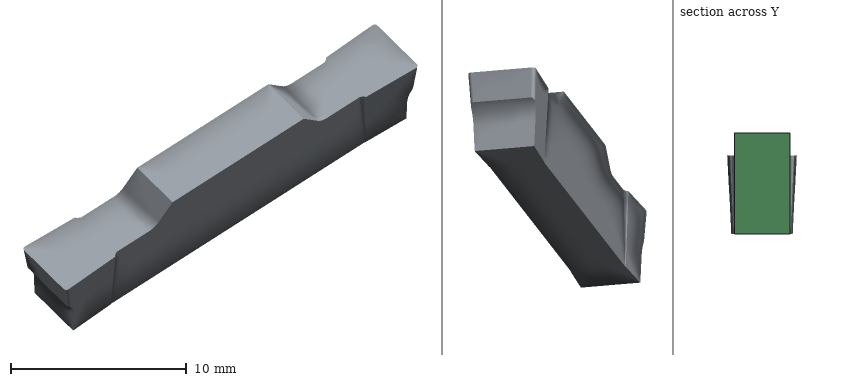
import cadquery as cq
import math


length = 25.8
height = 5.79
shelf_height = 4.49
shank_width = 3.2

ridge_top_length = 9.58
ridge_slope_angle = 45
ridge_foot_radius = 0.95

edge_width = 3.978
corner_radius = 0.2
side_taper_angle = 2.6
side_draft_angle = 2.65
end_relief_angle = 7
head_length_top = 3.74
head_length_bottom = 3.58
neck_length_ratio = 1.2
neck_shoulder_ratio = 0.45
neck_lean_ratio = 0.2

undercut_setback = 0.73
undercut_top = 2.76
undercut_tangent_height = 1.61

half_length = length / 2
shank_half = shank_width / 2


def tangent(angle):
    return math.tan(math.radians(angle))


def end_recess(z):
    """Distance of the relieved end face behind the cutting edge at height z."""
    return (shelf_height - z) * tangent(end_relief_angle)


def head_half_width(setback, z):
    """Half width of a head at a distance behind the cutting edge and at height z."""
    taper = setback * tangent(side_taper_angle)
    draft = (shelf_height - z) * tangent(side_draft_angle)
    return edge_width / 2 - taper - draft


def make_shank(shank_length):
    """Parallel shank with the filleted ridge, centred on the origin."""
    slope = math.radians(ridge_slope_angle)
    ridge_half = ridge_top_length / 2
    foot = ridge_half + (height - shelf_height) / math.tan(slope)
    foot_tangent = ridge_foot_radius * math.tan(slope / 2)
    shelf_end = foot + foot_tangent
    slope_end_y = foot - foot_tangent * math.cos(slope)
    slope_end_z = shelf_height + foot_tangent * math.sin(slope)
    arc_mid_y = shelf_end - ridge_foot_radius * math.sin(slope / 2)
    arc_mid_z = shelf_height + ridge_foot_radius * (1 - math.cos(slope / 2))
    shank_end = shank_length / 2
    return (
        cq.Workplane("YZ")
        .moveTo(-shank_end, 0)
        .lineTo(shank_end, 0)
        .lineTo(shank_end, shelf_height)
        .lineTo(shelf_end, shelf_height)
        .threePointArc((arc_mid_y, arc_mid_z), (slope_end_y, slope_end_z))
        .lineTo(ridge_half, height)
        .lineTo(-ridge_half, height)
        .lineTo(-slope_end_y, slope_end_z)
        .threePointArc((-arc_mid_y, arc_mid_z), (-shelf_end, shelf_height))
        .lineTo(-shank_end, shelf_height)
        .close()
        .extrude(shank_half, both=True)
    )


def head_section(z, head_length):
    """Plan outline of the -Y head at height z, with a shoulder and bevel down to the shank."""
    tip_y = -half_length + end_recess(z)
    tip_half = head_half_width(end_recess(z), z)
    back_y = -half_length + head_length
    back_half = head_half_width(head_length, z)
    step = back_half - shank_half
    neck = step * neck_length_ratio
    neck_end_y = back_y + neck
    bevel_x = back_half - step * neck_shoulder_ratio
    bevel_y = back_y + neck * neck_lean_ratio
    return (
        cq.Workplane("XY", origin=(0, 0, z))
        .moveTo(-tip_half, tip_y)
        .lineTo(tip_half, tip_y)
        .lineTo(back_half, back_y)
        .lineTo(bevel_x, bevel_y)
        .lineTo(shank_half, neck_end_y)
        .lineTo(-shank_half, neck_end_y)
        .lineTo(-bevel_x, bevel_y)
        .lineTo(-back_half, back_y)
        .close()
        .wire()
        .val()
    )


def make_undercut():
    """Cutter removing the hollow and the lower end of the -Y head."""
    end_y = -half_length + undercut_setback
    top_y = -half_length + end_recess(undercut_top)
    rise = undercut_top - undercut_tangent_height
    depth = end_y - top_y
    radius = (rise**2 + depth**2) / (2 * depth)
    half_sweep = math.asin(rise / radius) / 2
    mid_y = end_y - radius * (1 - math.cos(half_sweep))
    mid_z = undercut_tangent_height + radius * math.sin(half_sweep)
    outer_y = -length
    return (
        cq.Workplane("YZ")
        .moveTo(outer_y, 0)
        .lineTo(end_y, 0)
        .lineTo(end_y, undercut_tangent_height)
        .threePointArc((mid_y, mid_z), (top_y, undercut_top))
        .lineTo(outer_y, undercut_top)
        .close()
        .extrude(edge_width, both=True)
    )


def make_head():
    """Cutting head at the -Y end."""
    bottom = head_section(0, head_length_bottom)
    top = head_section(shelf_height, head_length_top)
    head = cq.Workplane(cq.Solid.makeLoft([bottom, top], True))
    head = head.faces("<Y").edges("<X or >X").fillet(corner_radius)
    return head.cut(make_undercut())


shank = make_shank(length - 2 * head_length_bottom)
head = make_head()
result = shank.union(head).union(head.mirror("XZ"))